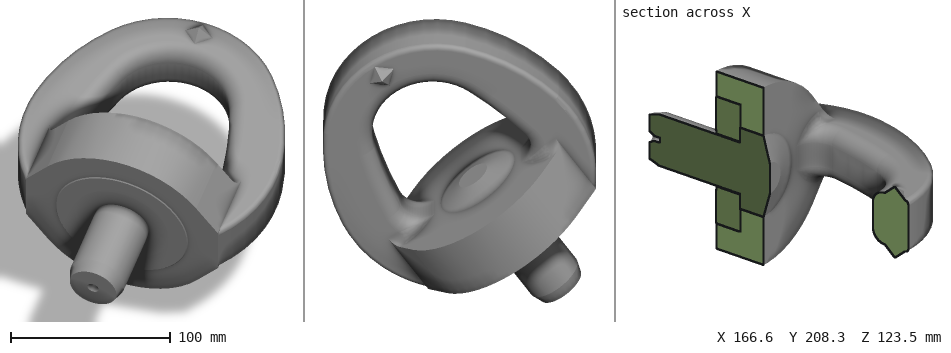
import cadquery as cq
import math


overall_length = 208.3

ring_thickness = 36.0
ring_half = ring_thickness / 2
ring_outer_round = 3.3
ring_inner_round = 9.5
outer_top_radius = 70.2
outer_low_radius = 83.3
outer_low_y = 54.2
outer_side_radius = 129.1
ring_top_y = 154.5

opening_top_y = 125.5
opening_top_radius = 38.0
opening_side_radius = 250.0
opening_corner_radius = 14.5
opening_corner_x = 33.0

hub_depth = 38.1
hub_height = 123.5
hub_half_width = 63.7
hub_radius = hub_height / 2
hub_fillet = 6.2

edge_margin = 1.0

mark_y = 143.3
mark_half_x = 9.2
mark_half_y = 8.1
mark_height = 6.9

bushing_diameter = 88.0
bushing_proud = 0.6
bushing_depth = 19.4
bushing_bore = 36.2
dish_diameter = 62.0
dish_depth = 0.5

shank_diameter = 36.0
shank_end_y = ring_top_y - overall_length
shank_tip_diameter = 30.8
shank_taper_length = 7.7
head_diameter = 56.0
dome_flat_diameter = 21.2
dome_height = 5.0
center_hole_diameter = 3.1
center_hole_depth = 8.3
countersink_diameter = 7.5
countersink_angle = 60.0


def tangent_arcs(top_y, top_radius, low_x, low_y, low_radius, side_radius):
    """Ends and middle of a side arc that touches a top arc centred on the Y axis and a low arc."""
    top = cq.Vector(0, top_y - top_radius)
    low = cq.Vector(low_x, low_y)
    reach_to_top = side_radius - top_radius
    reach_to_low = side_radius - low_radius
    span = top - low
    along = (span.Length**2 + reach_to_low**2 - reach_to_top**2) / (2 * span.Length)
    across = math.sqrt(reach_to_low**2 - along**2)
    direction = span.normalized()
    side = low + direction * along + cq.Vector(-direction.y, direction.x) * across
    upper_joint = side + (top - side).normalized() * side_radius
    lower_joint = side + (low - side).normalized() * side_radius
    chord_middle = (upper_joint + lower_joint) / 2
    side_middle = side + (chord_middle - side).normalized() * side_radius
    return upper_joint, side_middle, lower_joint


def egg_prism(top_y, side_arc, low_middle, low_end):
    """Prism as thick as the ring: top arc, two side arcs, two low arcs and a straight bottom."""
    upper_joint, side_middle, lower_joint = [(point.x, point.y) for point in side_arc]

    def mirrored(point):
        return (-point[0], point[1])

    return (
        cq.Workplane("XY", origin=(0, 0, -ring_half))
        .moveTo(*low_end)
        .threePointArc(low_middle, lower_joint)
        .threePointArc(side_middle, upper_joint)
        .threePointArc((0, top_y), mirrored(upper_joint))
        .threePointArc(mirrored(side_middle), mirrored(lower_joint))
        .threePointArc(mirrored(low_middle), mirrored(low_end))
        .close()
        .extrude(ring_thickness)
    )


def ring_plate():
    """Full plate inside the outer outline, cut off flat at the front and rounded along its curved rim."""
    side_arc = tangent_arcs(
        ring_top_y, outer_top_radius, 0, outer_low_y, outer_low_radius, outer_side_radius
    )
    low_middle = (outer_low_radius, outer_low_y)
    low_end = (math.sqrt(outer_low_radius**2 - outer_low_y**2), 0)
    plate = egg_prism(ring_top_y, side_arc, low_middle, low_end)
    return plate.faces("|Z").edges("not <Y").fillet(ring_outer_round)


def ring_opening():
    """Prism of the opening; its corner arcs run tangent into the back face of the hub."""
    corner_y = hub_depth + opening_corner_radius
    side_arc = tangent_arcs(
        opening_top_y,
        opening_top_radius,
        opening_corner_x,
        corner_y,
        opening_corner_radius,
        opening_side_radius,
    )
    corner_shift = opening_corner_radius * math.sqrt(0.5)
    corner_middle = (opening_corner_x + corner_shift, corner_y - corner_shift)
    return egg_prism(opening_top_y, side_arc, corner_middle, (opening_corner_x, hub_depth))


def ring():
    holed = ring_plate().cut(ring_opening())
    around_opening = cq.selectors.BoxSelector(
        (-hub_half_width, hub_depth - edge_margin, -ring_half - edge_margin),
        (hub_half_width, opening_top_y + edge_margin, ring_half + edge_margin),
    )
    return holed.faces("|Z").edges(around_opening).fillet(ring_inner_round)


def hub():
    """Round block whose tangent flanks run down to the ring faces."""
    corner_distance = math.hypot(hub_half_width, ring_half)
    touch_angle = math.atan2(ring_half, hub_half_width) + math.acos(hub_radius / corner_distance)
    touch_x = hub_radius * math.cos(touch_angle)
    touch_z = hub_radius * math.sin(touch_angle)
    return (
        cq.Workplane("XZ")
        .moveTo(hub_half_width, -ring_half)
        .lineTo(hub_half_width, ring_half)
        .lineTo(touch_x, touch_z)
        .threePointArc((0, hub_radius), (-touch_x, touch_z))
        .lineTo(-hub_half_width, ring_half)
        .lineTo(-hub_half_width, -ring_half)
        .lineTo(-touch_x, -touch_z)
        .threePointArc((0, -hub_radius), (touch_x, -touch_z))
        .close()
        .extrude(-hub_depth)
    )


def ring_on_hub():
    """Ring and hub joined, with a concave fillet where the ring rises from the back of the hub."""
    joined = ring().union(hub())
    root_edges = joined.edges(
        cq.selectors.BoxSelector(
            (-hub_half_width, hub_depth - edge_margin, -ring_half - edge_margin),
            (hub_half_width, hub_depth + edge_margin, ring_half + edge_margin),
        )
    )
    return root_edges.fillet(hub_fillet)


def pyramid_mark(side):
    """Four-sided pyramid on one ring face: side is 1 for the upper face and -1 for the lower one."""
    apex = cq.Vector(0, mark_y, side * (ring_half + mark_height))
    corners = [
        cq.Vector(mark_half_x, mark_y, side * ring_half),
        cq.Vector(0, mark_y + mark_half_y, side * ring_half),
        cq.Vector(-mark_half_x, mark_y, side * ring_half),
        cq.Vector(0, mark_y - mark_half_y, side * ring_half),
    ]
    outlines = [corners]
    outlines += [[corners[i - 1], corners[i], apex] for i in range(len(corners))]
    faces = [cq.Face.makeFromWires(cq.Wire.makePolygon(points, close=True)) for points in outlines]
    return cq.Solid.makeSolid(cq.Shell.makeShell(faces))


def cylinder(diameter, start_y, end_y):
    return cq.Workplane("XZ", origin=(0, start_y, 0)).circle(diameter / 2).extrude(start_y - end_y)


def make_body():
    body = ring_on_hub()
    for side in (1, -1):
        body = body.union(cq.Workplane(pyramid_mark(side)))
    body = body.cut(cylinder(head_diameter, 0, hub_depth))
    return body.cut(cylinder(bushing_diameter, 0, bushing_depth))


def make_bushing():
    """Ring seated in the front of the hub, with a chamfered proud rim and a shallow dish around the bore."""
    outer = bushing_diameter / 2
    return (
        cq.Workplane("XY")
        .moveTo(bushing_bore / 2, bushing_depth)
        .lineTo(outer, bushing_depth)
        .lineTo(outer, 0)
        .lineTo(outer - bushing_proud, -bushing_proud)
        .lineTo(dish_diameter / 2, -bushing_proud)
        .lineTo(bushing_bore / 2, dish_depth - bushing_proud)
        .close()
        .revolve(360, (0, 0, 0), (0, 1, 0))
    )


def make_pin():
    """Shank through the bushing and domed head in the back of the hub, with a center hole in the tip."""
    sink_width = (countersink_diameter - center_hole_diameter) / 2
    sink_depth = sink_width / math.tan(math.radians(countersink_angle / 2))
    return (
        cq.Workplane("XY")
        .moveTo(0, shank_end_y + center_hole_depth)
        .lineTo(center_hole_diameter / 2, shank_end_y + center_hole_depth)
        .lineTo(center_hole_diameter / 2, shank_end_y + sink_depth)
        .lineTo(countersink_diameter / 2, shank_end_y)
        .lineTo(shank_tip_diameter / 2, shank_end_y)
        .lineTo(shank_diameter / 2, shank_end_y + shank_taper_length)
        .lineTo(shank_diameter / 2, bushing_depth)
        .lineTo(head_diameter / 2, bushing_depth)
        .lineTo(head_diameter / 2, hub_depth)
        .lineTo(dome_flat_diameter / 2, hub_depth + dome_height)
        .lineTo(0, hub_depth + dome_height)
        .close()
        .revolve(360, (0, 0, 0), (0, 1, 0))
    )


body = make_body()
bushing = make_bushing()
pin = make_pin()
result = cq.Compound.makeCompound([body.solids().val(), bushing.val(), pin.val()])